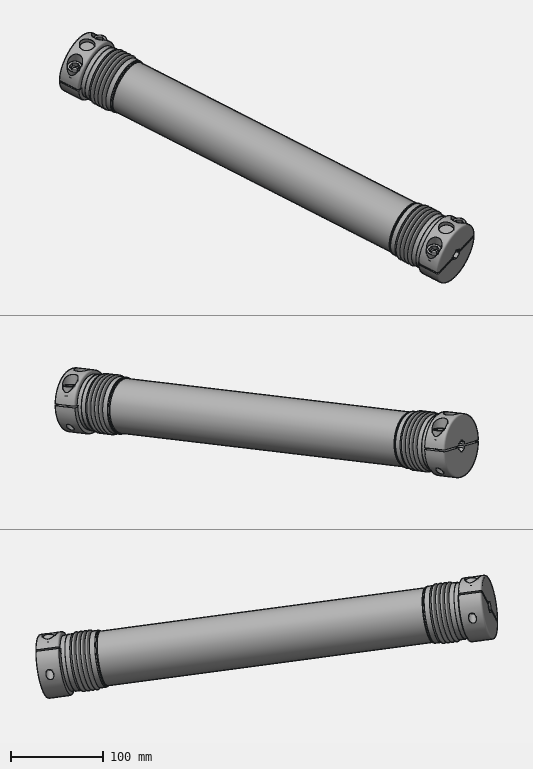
import cadquery as cq
import math

total_length = 500.0
tube_diameter = 60.0

hub_diameter = 70.0
hub_length = 26.5
cap_length = 26.0
hub_round = 2.0
split_width = 2.0
cap_gap = 1.5

neck_diameter = 61.5
collar_diameter = 62.5
collar_start = 32.0
collar_length = 5.5
groove_count = 5
groove_pitch = 5.0
groove_width = 2.0
groove_straight_diameter = 54.0
far_collar_length = 6.0
far_neck_end = 67.0
tube_start = 68.0

screw_offset = 23.5
counterbore_diameter = 17.0
head_diameter = 16.0
head_top = 20.5
head_height = 10.0
clearance_diameter = 10.5
shank_diameter = 10.0
shank_end = -17.5
thread_hole_diameter = 8.5
screw_socket_width = 10.0
screw_socket_depth = 5.0
screw_drill_diameter = 6.5
spotface_floor = 29.5

end_socket_width = 11.5
end_socket_depth = 30.0
end_drill_diameter = 8.5
end_drill_depth = 3.0
drill_point_angle = 118.0

hub_middle = hub_length / 2
cap_gap_end = cap_length + cap_gap
collar_end = collar_start + collar_length
land_width = groove_pitch - groove_width
bellows_end = collar_end + (groove_count - 1) * groove_pitch + groove_width
far_collar_end = bellows_end + far_collar_length
half_length = total_length / 2
head_seat = head_top - head_height
beyond = hub_diameter


def cylinder_z(diameter, bottom, top, y=0.0):
    """Vertical cylinder over the middle of the hub."""
    return (
        cq.Workplane("XY", origin=(hub_middle, y, bottom))
        .circle(diameter / 2)
        .extrude(top - bottom)
    )


def drilled_socket(hex_width, hex_depth, drill_diameter, drill_depth):
    """Hexagonal recess going down from Z = 0, with a pointed drill hole in its floor."""
    corner_diameter = hex_width / math.cos(math.pi / 6)
    radius = drill_diameter / 2
    point_height = radius / math.tan(math.radians(drill_point_angle / 2))
    drill_bottom = -hex_depth - drill_depth
    hexagon = cq.Workplane("XY").polygon(6, corner_diameter).extrude(-hex_depth)
    drill = (
        cq.Workplane("XZ")
        .polyline([(0, 0), (radius, 0), (radius, drill_bottom), (0, drill_bottom - point_height)])
        .close()
        .revolve(360, (0, 0, 0), (0, 1, 0))
    )
    return hexagon.union(drill)


def turned_body():
    """Hub, neck, bellows and half of the tube, turned about X."""
    hub_radius = hub_diameter / 2
    neck_radius = neck_diameter / 2
    collar_radius = collar_diameter / 2
    straight_radius = groove_straight_diameter / 2
    outline = (
        cq.Workplane("XY")
        .moveTo(0, 0)
        .lineTo(0, hub_radius - hub_round)
        .radiusArc((hub_round, hub_radius), hub_round)
        .lineTo(hub_length - hub_round, hub_radius)
        .radiusArc((hub_length, hub_radius - hub_round), hub_round)
        .lineTo(hub_length, neck_radius)
        .lineTo(collar_start, neck_radius)
        .lineTo(collar_start, collar_radius)
        .lineTo(collar_end, collar_radius)
    )
    for index in range(groove_count):
        start = collar_end + index * groove_pitch
        end = start + groove_width
        root = (start + groove_width / 2, straight_radius - groove_width / 2)
        outline = (
            outline.lineTo(start, straight_radius)
            .threePointArc(root, (end, straight_radius))
            .lineTo(end, collar_radius)
        )
        if index < groove_count - 1:
            crest = (end + land_width / 2, collar_radius + land_width / 2)
            outline = outline.threePointArc(crest, (end + land_width, collar_radius))
    return (
        outline.lineTo(far_collar_end, collar_radius)
        .lineTo(far_collar_end, neck_radius)
        .lineTo(far_neck_end, neck_radius)
        .lineTo(tube_start, tube_diameter / 2)
        .lineTo(half_length, tube_diameter / 2)
        .lineTo(half_length, 0)
        .close()
        .revolve(360, (0, 0, 0), (1, 0, 0))
    )


def hub_slits():
    """Slit that splits the hub, and the gap that frees its lower half from the neck."""
    split = cq.Workplane("XY").box(cap_gap_end, beyond, split_width, centered=(False, True, True))
    gap = (
        cq.Workplane("XY", origin=(cap_length, 0, -beyond))
        .box(cap_gap, beyond, beyond, centered=(False, True, False))
    )
    return split.union(gap)


def screw_holes(y):
    """Counterbore and clearance in the upper half, threaded hole through the lower half."""
    counterbore = cylinder_z(counterbore_diameter, head_seat, beyond, y)
    clearance = cylinder_z(clearance_diameter, 0, head_seat, y)
    thread_hole = cylinder_z(thread_hole_diameter, -beyond, 0, y)
    return counterbore.union(clearance).union(thread_hole)


def clamp_screw(y):
    """Socket head screw that holds the two hub halves together."""
    head = cylinder_z(head_diameter, head_seat, head_top, y)
    shank = cylinder_z(shank_diameter, shank_end, head_seat, y)
    socket = drilled_socket(screw_socket_width, screw_socket_depth, screw_drill_diameter, 0)
    socket = socket.rotate((0, 0, 0), (0, 0, 1), 30)
    return head.union(shank).cut(socket.translate((hub_middle, y, head_top)))


def end_socket():
    """Socket that goes into the outer face of the hub along X."""
    socket = drilled_socket(end_socket_width, end_socket_depth, end_drill_diameter, end_drill_depth)
    return socket.rotate((0, 0, 0), (0, 1, 0), -90)


def coupling_half():
    """One end of the coupling, from its outer face at X = 0 to the middle of the tube."""
    half = turned_body().cut(hub_slits()).cut(end_socket())
    half = half.cut(cylinder_z(counterbore_diameter, spotface_floor, beyond))
    for y in (-screw_offset, screw_offset):
        half = half.cut(screw_holes(y)).union(clamp_screw(y))
    return half


left_half = coupling_half().translate((-half_length, 0, 0))
result = left_half.union(left_half.mirror("YZ"))